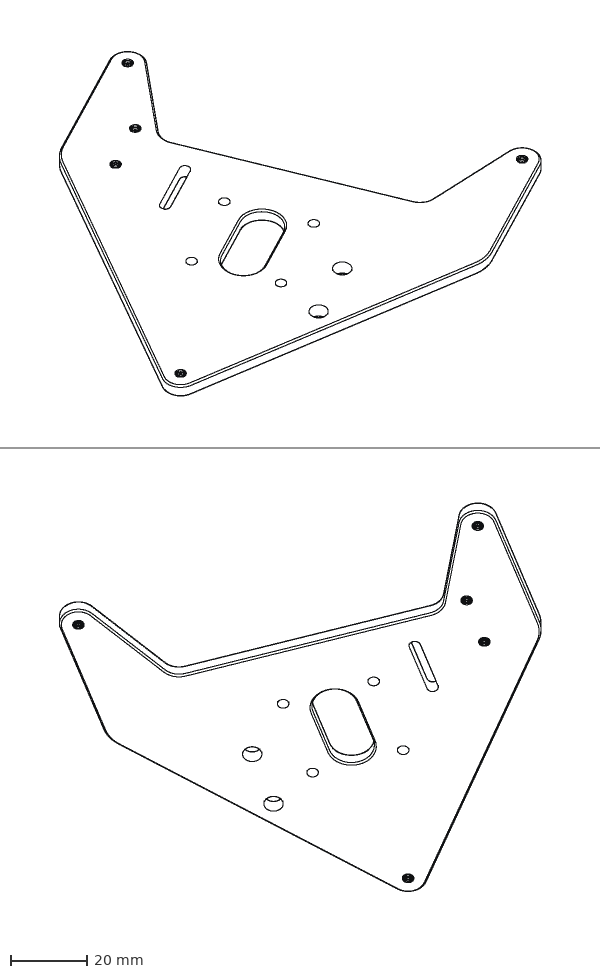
import cadquery as cq
import math

width = 120.0
length = 119.9
thickness = 4.0
edge_chamfer = 0.5

ear_span = 110.0
tip_radius = (width - ear_span) / 2
shoulder_radius = 10.0
notch_radius = 5.0
shoulder_y = 18.4
shoulder_center = (width / 2 - shoulder_radius, shoulder_y)
notch_floor_y = 30.0
notch_half_width = 33.8
notch_center = (notch_half_width, notch_floor_y + notch_radius)
ear_center = (ear_span / 2, ear_span / 2)
point_center = (0, ear_center[1] + 2 * tip_radius - length)

thread_crest_diameter = 2.5
thread_root_diameter = 3.0
thread_turns = 8
wing_hole_x = -44.3
wing_hole_y = 24.0
wing_hole_pitch = 15.0

mount_diameter = 3.0
mount_pitch = 25.0

large_diameter = 5.0
large_hole_x = 25.5
large_hole_y = -10.5
large_hole_pitch = 18.0

window_width = 12.0
window_length = 26.0
window_chamfer = edge_chamfer
slot_width = 3.0
slot_length = 18.0
slot_center = (-26.5, 13.3)


def on_circle(center, radius, angle):
    """Point on a circle at an angle in radians from +X."""
    return (center[0] + radius * math.cos(angle), center[1] + radius * math.sin(angle))


def mirrored(point):
    """Reflect a point across the plate's centerline."""
    return (-point[0], point[1])


def center_line(start, end):
    """Distance and direction angle from one arc center to another."""
    dx = end[0] - start[0]
    dy = end[1] - start[1]
    return math.hypot(dx, dy), math.atan2(dy, dx)


def plate():
    distance, direction = center_line(point_center, shoulder_center)
    flank_normal = direction - math.acos((tip_radius - shoulder_radius) / distance)
    flank_low = on_circle(point_center, tip_radius, flank_normal)
    flank_high = on_circle(shoulder_center, shoulder_radius, flank_normal)
    point_end = on_circle(point_center, tip_radius, -math.pi / 2)
    shoulder_mid = on_circle(shoulder_center, shoulder_radius, flank_normal / 2)
    shoulder_end = on_circle(shoulder_center, shoulder_radius, 0)

    distance, direction = center_line(ear_center, notch_center)
    ear_normal = direction - math.acos((tip_radius + notch_radius) / distance)
    ear_normal %= 2 * math.pi
    ear_start = on_circle(ear_center, tip_radius, 0)
    ear_mid = on_circle(ear_center, tip_radius, ear_normal / 2)
    ear_end = on_circle(ear_center, tip_radius, ear_normal)
    notch_start = on_circle(notch_center, notch_radius, ear_normal - math.pi)
    notch_mid = on_circle(notch_center, notch_radius, (ear_normal - 3 * math.pi / 2) / 2)
    notch_end = (notch_center[0], notch_floor_y)

    return (
        cq.Workplane("XY")
        .moveTo(*flank_low)
        .lineTo(*flank_high)
        .threePointArc(shoulder_mid, shoulder_end)
        .lineTo(*ear_start)
        .threePointArc(ear_mid, ear_end)
        .lineTo(*notch_start)
        .threePointArc(notch_mid, notch_end)
        .lineTo(*mirrored(notch_end))
        .threePointArc(mirrored(notch_mid), mirrored(notch_start))
        .lineTo(*mirrored(ear_end))
        .threePointArc(mirrored(ear_mid), mirrored(ear_start))
        .lineTo(*mirrored(shoulder_end))
        .threePointArc(mirrored(shoulder_mid), mirrored(flank_high))
        .lineTo(*mirrored(flank_low))
        .threePointArc(point_end, flank_low)
        .close()
        .extrude(thickness)
        .faces("<Z or >Z")
        .edges()
        .chamfer(edge_chamfer)
    )


def window():
    """Window cutter flared at both faces."""
    opening = cq.Workplane("XY").slot2D(window_length, window_width, 90).extrude(thickness)
    flare = (
        cq.Workplane("XY")
        .slot2D(window_length + 2 * window_chamfer, window_width + 2 * window_chamfer, 90)
        .extrude(window_chamfer, taper=45)
    )
    top_flare = flare.mirror("XY").translate((0, 0, thickness))
    return opening.union(flare).union(top_flare)


def slot():
    return (
        cq.Workplane("XY")
        .center(*slot_center)
        .slot2D(slot_length, slot_width, 90)
        .extrude(thickness)
    )


def plain_holes(points, diameter):
    return cq.Workplane("XY").pushPoints(points).circle(diameter / 2).extrude(thickness)


def threaded_hole():
    """Hole cutter with V grooves, opening to the thread root at both faces."""
    crest = thread_crest_diameter / 2
    root = thread_root_diameter / 2
    pitch = thickness / thread_turns
    profile = [(0, 0), (root, 0)]
    for turn in range(thread_turns):
        profile.append((crest, (turn + 0.5) * pitch))
        profile.append((root, (turn + 1) * pitch))
    profile.append((0, thickness))
    return cq.Workplane("XZ").polyline(profile).close().revolve(360, (0, 0, 0), (0, 1, 0))


def column(x, y, pitch):
    """Two points spaced along Y about a midpoint."""
    return [(x, y + pitch / 2), (x, y - pitch / 2)]


threaded_points = [ear_center, mirrored(ear_center), point_center]
threaded_points += column(wing_hole_x, wing_hole_y, wing_hole_pitch)
mount_points = column(-mount_pitch / 2, 0, mount_pitch) + column(mount_pitch / 2, 0, mount_pitch)
large_points = column(large_hole_x, large_hole_y, large_hole_pitch)

result = (
    plate()
    .cut(window())
    .cut(slot())
    .cut(plain_holes(mount_points, mount_diameter))
    .cut(plain_holes(large_points, large_diameter))
)
for x, y in threaded_points:
    result = result.cut(threaded_hole().translate((x, y, 0)))